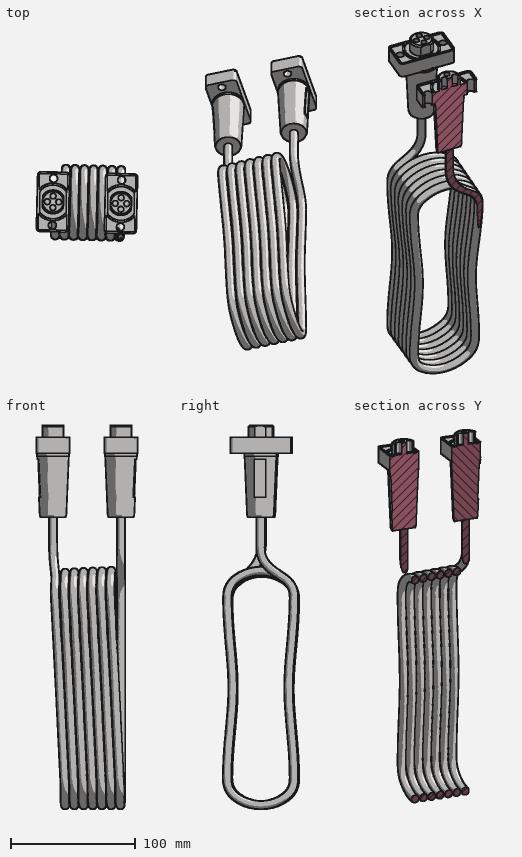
import cadquery as cq
import math

total_height = 307.5
part_turn = -1.4

connector_spacing = 54.5
nose_diameter = 19.0
nose_height = 9.5
nose_chamfer = 1.2
nose_width_over_flats = 17.0
contact_diameter = 4.5
contact_circle_radius = 4.5
contact_count = 4
flange_width = 25.8
flange_length = 48.0
flange_height = 13.0
flange_corner_radius = 3.0
screw_hole_diameter = 6.0
screw_hole_offset = 18.8
lip_width = 1.5
lip_height = 0.5
lip_ring_radius = 15.0
collar_height = 2.0
grip_length = 49.2
grip_top_diameter = 25.5
grip_bottom_diameter = 21.5
grip_bevel_height = 2.0
grip_end_diameter = 20.0
label_width = 9.0
label_height = 30.5
label_depth = 0.5
label_top_offset = 2.8

flange_top = total_height - nose_height
flange_bottom = flange_top - flange_height
grip_top = flange_bottom - collar_height
grip_end = grip_top - grip_length
bevel_top = grip_end + grip_bevel_height

cable_diameter = 6.8
coil_pitch = 7.5
coil_turns = 7
coil_half_depth = 26.8
coil_start_x = -25.0
arch_corner_radius = 18.5
arch_corner_angle = math.radians(55)
leg_length = 145.8
leg_bow = 4.3
turn_rise = 0.3
left_lead_straight = 19.0
right_lead_straight = 23.0

shoulder_y = coil_half_depth - arch_corner_radius * (1 - math.cos(arch_corner_angle))
shoulder_rise = arch_corner_radius * math.sin(arch_corner_angle)
crown_radius = shoulder_y / math.cos(arch_corner_angle)
arch_height = shoulder_rise + crown_radius * (1 - math.sin(arch_corner_angle))
leg_bottom = cable_diameter / 2 + arch_height


def strand_x(index):
    return coil_start_x + index * coil_pitch


def leg_top(index):
    """Height where a top bend starts; the coil gets slightly taller turn by turn."""
    return leg_bottom + leg_length - (coil_turns - index) * turn_rise


def grip_profile(inset):
    """Half section of the tapered grip, drawn in the XZ plane and shrunk by inset."""
    return (
        cq.Workplane("XZ")
        .moveTo(0, grip_end)
        .lineTo(grip_end_diameter / 2 - inset, grip_end)
        .lineTo(grip_bottom_diameter / 2 - inset, bevel_top)
        .lineTo(grip_top_diameter / 2 - inset, grip_top)
        .lineTo(0, grip_top)
        .close()
    )


def make_grip():
    grip = grip_profile(0).revolve(360, (0, 0, 0), (0, 1, 0))
    grip_core = grip_profile(label_depth).revolve(360, (0, 0, 0), (0, 1, 0))
    label_center_z = grip_top - label_top_offset - label_height / 2
    label_window = cq.Workplane("XY").box(flange_width, label_width, label_height).translate(
        (-flange_width / 2, 0, label_center_z)
    )
    collar = cq.Workplane("XY").workplane(offset=grip_top).circle(flange_width / 2).extrude(collar_height)
    return grip.cut(label_window.cut(grip_core)).union(collar)


def lip_pockets():
    """Shallow pockets in the flange top that leave a lip along its rim and around the nose."""
    top = cq.Workplane("XY").workplane(offset=flange_top - lip_height)
    inner_width = flange_width - 2 * lip_width
    rim_inside = top.rect(inner_width, flange_length - 2 * lip_width).extrude(lip_height)
    ring_outside = top.circle(lip_ring_radius).extrude(lip_height)
    ring_inside = top.circle(lip_ring_radius - lip_width).extrude(lip_height)
    center_strip = top.rect(inner_width - lip_width, flange_length).extrude(lip_height)
    return rim_inside.cut(ring_outside).union(ring_inside.intersect(center_strip))


def make_flange():
    return (
        cq.Workplane("XY")
        .workplane(offset=flange_bottom)
        .rect(flange_width, flange_length)
        .extrude(flange_height)
        .edges("|Z")
        .fillet(flange_corner_radius)
        .cut(lip_pockets())
        .faces("<Z")
        .workplane(origin=(0, 0, flange_bottom))
        .pushPoints([(0, -screw_hole_offset), (0, screw_hole_offset)])
        .hole(screw_hole_diameter)
    )


def make_nose():
    nose_base = flange_top - lip_height
    nose = (
        cq.Workplane("XY")
        .workplane(offset=nose_base)
        .circle(nose_diameter / 2)
        .extrude(total_height - nose_base)
        .faces(">Z")
        .chamfer(nose_chamfer)
    )
    flats = cq.Workplane("XY").box(nose_width_over_flats, nose_diameter, 2 * total_height)
    contacts = (
        cq.Workplane("XY")
        .workplane(offset=flange_top)
        .polarArray(contact_circle_radius, 0, 360, contact_count)
        .circle(contact_diameter / 2)
        .extrude(nose_height)
    )
    return nose.intersect(flats).cut(contacts)


def make_connector(center_x, turn):
    """One connector; its label faces -X before the turn."""
    connector = make_grip().union(make_flange()).union(make_nose())
    return connector.rotate((0, 0, 0), (0, 0, 1), turn).translate((center_x, 0, 0))


def leg(start, end):
    """Long leg of the coil: straight at both ends and bowed inwards halfway."""
    middle = (start + end) * 0.5
    middle.y -= math.copysign(leg_bow, middle.y)
    along = (end - start).normalized()
    return cq.Edge.makeSpline([start, middle, end], [along, along])


def shoulder_point(x, side, base_z, up):
    return cq.Vector(x, side * shoulder_y, base_z + up * shoulder_rise)


def leg_end(x, side, base_z):
    return cq.Vector(x, side * coil_half_depth, base_z)


def shoulder_direction(side, up):
    """Cable direction at a shoulder when it runs outwards, on towards the leg."""
    return cq.Vector(0, side * math.sin(arch_corner_angle), -up * math.cos(arch_corner_angle))


def slant(side):
    """Sideways travel per unit of height: only the front legs step over by one pitch."""
    return -coil_pitch / leg_length if side < 0 else 0


def corner_to_leg(x, side, base_z, up):
    leg_direction = cq.Vector(slant(side), 0, 1) * -up
    return cq.Edge.makeSpline(
        [shoulder_point(x, side, base_z, up), leg_end(x, side, base_z)],
        [shoulder_direction(side, up), leg_direction.normalized()],
    )


def corner_from_leg(x, side, base_z, up):
    leg_direction = cq.Vector(slant(side), 0, 1) * up
    return cq.Edge.makeSpline(
        [leg_end(x, side, base_z), shoulder_point(x, side, base_z, up)],
        [leg_direction.normalized(), shoulder_direction(side, up) * -1],
    )


def arch(x, side, base_z, up):
    """Corner, crown and corner from the leg on one side (-1 front, 1 back) to the leg on the other."""
    crown = cq.Edge.makeTangentArc(
        shoulder_point(x, side, base_z, up),
        shoulder_direction(side, up) * -1,
        shoulder_point(x, -side, base_z, up),
    )
    return [corner_from_leg(x, side, base_z, up), crown, corner_to_leg(x, -side, base_z, up)]


def coil_turn(index):
    """Front leg down, one pitch sideways; then under the bottom arch and up the back leg."""
    next_x = strand_x(index + 1)
    front_leg = leg(leg_end(strand_x(index), -1, leg_top(index)), leg_end(next_x, -1, leg_bottom))
    back_leg = leg(leg_end(next_x, 1, leg_bottom), leg_end(next_x, 1, leg_top(index + 1)))
    return [front_leg, *arch(next_x, -1, leg_bottom, -1), back_leg]


def left_lead():
    """From the left-hand connector down and forwards into the first front leg."""
    start = cq.Vector(-connector_spacing / 2, 0, grip_end)
    bend = start - cq.Vector(0, 0, left_lead_straight)
    shoulder = shoulder_point(strand_x(0), -1, leg_top(0), 1)
    return [
        cq.Edge.makeLine(start, bend),
        cq.Edge.makeSpline([bend, shoulder], [cq.Vector(0, 0, -1), shoulder_direction(-1, 1)]),
        corner_to_leg(strand_x(0), -1, leg_top(0), 1),
    ]


def right_lead():
    """From the last back leg forwards and up into the right-hand connector."""
    end = cq.Vector(connector_spacing / 2, 0, grip_end)
    bend = end - cq.Vector(0, 0, right_lead_straight)
    last_x = strand_x(coil_turns)
    last_top = leg_top(coil_turns)
    shoulder = shoulder_point(last_x, 1, last_top, 1)
    return [
        corner_from_leg(last_x, 1, last_top, 1),
        cq.Edge.makeSpline([shoulder, bend], [shoulder_direction(1, 1) * -1, cq.Vector(0, 0, 1)]),
        cq.Edge.makeLine(bend, end),
    ]


def make_cable():
    path = left_lead() + coil_turn(0)
    for index in range(1, coil_turns):
        path += arch(strand_x(index), 1, leg_top(index), 1)
        path += coil_turn(index)
    path += right_lead()
    section = cq.Workplane("XY", origin=(-connector_spacing / 2, 0, grip_end)).circle(cable_diameter / 2)
    return section.sweep(cq.Workplane(cq.Wire.assembleEdges(path)))


def turned(body):
    return body.rotate((0, 0, 0), (0, 0, 1), part_turn).val()


connectors = [
    make_connector(-connector_spacing / 2, 0),
    make_connector(connector_spacing / 2, 180),
]
cable = make_cable()
result = cq.Compound.makeCompound([*[turned(connector) for connector in connectors], turned(cable)])